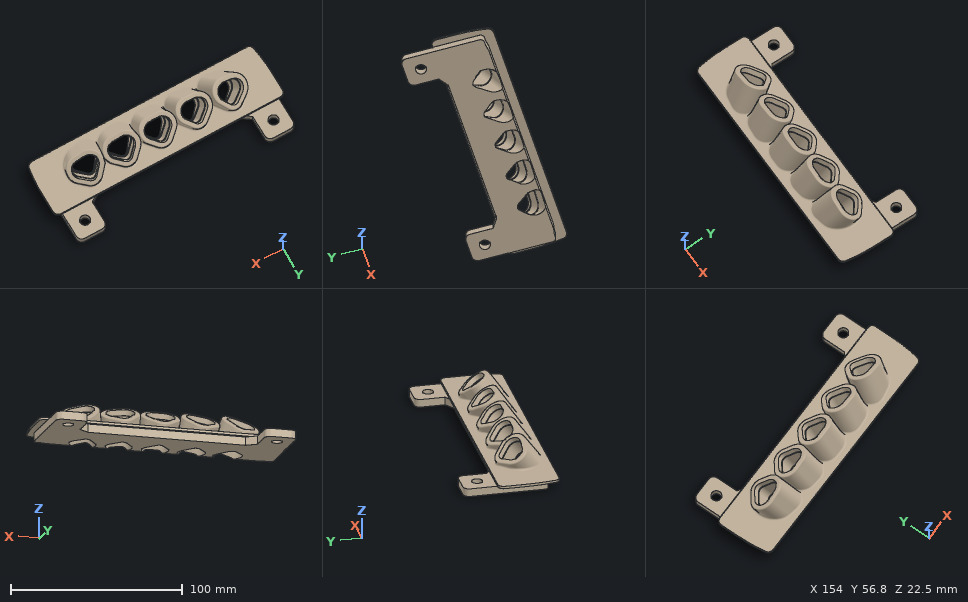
import cadquery as cq
import math


PLATE_LENGTH = 154.0
PLATE_DEPTH = 37.0
PLATE_THICKNESS = 1.5
PLATE_CORNER_RADIUS = 3.5
SIDE_BOW_START = 21.3
SIDE_BOW_RADIUS = 110.0

OVERALL_DEPTH = 56.8
BASE_WIDTH = 145.4
BASE_HEIGHT = 5.0
BASE_FRONT = 5.5
BACK_INSET = 2.0
BASE_BACK = PLATE_DEPTH - BACK_INSET
BASE_CORNER_RADIUS = 2.4
CORNER_SETBACK = 0.7
SETBACK_START = 8.4
SETBACK_END = 4.65
TAB_WIDTH = 19.0
TAB_CORNER_RADIUS = 3.75
TAB_HOLE_DIAMETER = 6.3
TAB_HOLE_FROM_BACK = 9.85
GUSSET_LENGTH = 6.0
GUSSET_DEPTH = 4.1

SOCKETS_PER_SIDE = 2
SOCKET_TILT = 34.2
FAN_STEP = 8.0
SOCKET_PITCH = 22.22
FAN_PIVOT_Z = 1.7
MOUTH_RADIUS = 20.57
MOUTH_Y = 14.85
SOCKET_FLAT = 6.0
SOCKET_SIDE_RADIUS = 8.9
SOCKET_APEX_RADIUS = 6.9
SOCKET_WALL = 3.3
SOCKET_FILLET = 1.0
FOOT_FILLET = 1.4
SOCKET_LENGTH = 45.0
LIP_DEPTH = 3.6
POCKET_DEPTH = 13.3
LIP_STEP = 0.5
LOWER_BORE_STEP = 0.6

PLATE_TOP = BASE_HEIGHT + PLATE_THICKNESS
EDGE_TOLERANCE = 0.01
OVERLAP = 0.5


def make_plate():
    half = PLATE_LENGTH / 2
    bow_center = half - SIDE_BOW_RADIUS

    def bow_x(y):
        return bow_center + math.sqrt(SIDE_BOW_RADIUS**2 - (SIDE_BOW_START - y)**2)

    bow_mid = (bow_x(SIDE_BOW_START / 2), SIDE_BOW_START / 2)
    return (
        cq.Workplane("XY", origin=(0, 0, BASE_HEIGHT))
        .moveTo(-half, PLATE_DEPTH)
        .lineTo(half, PLATE_DEPTH)
        .lineTo(half, SIDE_BOW_START)
        .threePointArc(bow_mid, (bow_x(0), 0))
        .lineTo(-bow_x(0), 0)
        .threePointArc((-bow_mid[0], bow_mid[1]), (-half, SIDE_BOW_START))
        .close()
        .extrude(PLATE_THICKNESS)
        .edges("|Z and (<Y or >Y)")
        .fillet(PLATE_CORNER_RADIUS)
    )


def make_base():
    half = BASE_WIDTH / 2
    tab_back = OVERALL_DEPTH
    tab_inner = half - TAB_WIDTH
    right_half = [
        (0, BASE_FRONT),
        (half - SETBACK_START, BASE_FRONT),
        (half - SETBACK_END, BASE_FRONT + CORNER_SETBACK),
        (half, BASE_FRONT + CORNER_SETBACK),
        (half, tab_back),
        (tab_inner, tab_back),
        (tab_inner, BASE_BACK + GUSSET_DEPTH),
        (tab_inner - GUSSET_LENGTH, BASE_BACK),
        (0, BASE_BACK),
    ]
    hole_x = half - TAB_WIDTH / 2
    hole_y = tab_back - TAB_HOLE_FROM_BACK
    hole = cq.Workplane("XY").center(hole_x, hole_y).circle(TAB_HOLE_DIAMETER / 2).extrude(BASE_HEIGHT)
    body = (
        cq.Workplane("XY")
        .polyline(right_half)
        .close()
        .extrude(BASE_HEIGHT)
        .edges("|Z and >Y")
        .fillet(TAB_CORNER_RADIUS)
        .edges("|Z")
        .edges(">X")
        .edges("<Y")
        .fillet(BASE_CORNER_RADIUS)
        .cut(hole)
    )
    return body.union(body.mirror("YZ"))


def socket_profile(workplane, inset):
    """Rounded pick shape: flat front, round sides, two 45 degree flanks and a round apex."""
    flat = SOCKET_FLAT / 2
    side = SOCKET_SIDE_RADIUS - inset
    apex = SOCKET_APEX_RADIUS - inset
    diagonal = math.sqrt(0.5)
    side_y = SOCKET_SIDE_RADIUS
    apex_y = side_y + flat + (SOCKET_SIDE_RADIUS - SOCKET_APEX_RADIUS) / diagonal
    flank_low = (flat + side * diagonal, side_y + side * diagonal)
    flank_high = (apex * diagonal, apex_y + apex * diagonal)
    bulge = math.radians(-22.5)
    side_mid = (flat + side * math.cos(bulge), side_y + side * math.sin(bulge))
    return (
        workplane.moveTo(-flat, inset)
        .lineTo(flat, inset)
        .threePointArc(side_mid, flank_low)
        .lineTo(*flank_high)
        .threePointArc((0, apex_y + apex), (-flank_high[0], flank_high[1]))
        .lineTo(-flank_low[0], flank_low[1])
        .threePointArc((-side_mid[0], side_mid[1]), (-flat, inset))
        .close()
    )


def mouth_plane(index):
    """Workplane on a socket's mouth; its origin is the middle of the front edge."""
    tilt = math.radians(SOCKET_TILT)
    fan = math.radians(FAN_STEP * index)
    axis = (math.cos(tilt) * math.sin(fan), math.sin(tilt), math.cos(tilt) * math.cos(fan))
    mouth_x = SOCKET_PITCH * index + MOUTH_RADIUS * math.sin(fan)
    mouth_z = FAN_PIVOT_Z + MOUTH_RADIUS * math.cos(fan)
    return cq.Plane(origin=(mouth_x, MOUTH_Y, mouth_z), xDir=(math.cos(fan), 0, -math.sin(fan)), normal=axis)


def make_socket(index):
    """Solid tube with a rounded mouth rim, trimmed just below the top of the plate."""
    plane = mouth_plane(index)
    mouth_face = cq.selectors.DirectionNthSelector(plane.zDir, -1)
    tube = socket_profile(cq.Workplane(plane), 0).extrude(-SOCKET_LENGTH)
    tube = tube.faces(mouth_face).edges().fillet(SOCKET_FILLET)
    trim = (
        cq.Workplane("XY", origin=(0, 0, PLATE_TOP - OVERLAP))
        .rect(2 * PLATE_LENGTH, 2 * PLATE_LENGTH)
        .extrude(-SOCKET_LENGTH)
    )
    return tube.cut(trim)


def make_bore(index):
    """Lead-in tapering to a lip, a wider pocket behind it and a narrower bore through the bottom."""
    mouth = cq.Workplane(mouth_plane(index))
    lip_level = mouth.workplane(offset=-LIP_DEPTH)
    lip_inset = SOCKET_WALL + LIP_STEP
    lead_in = socket_profile(mouth, SOCKET_WALL).workplane(offset=-LIP_DEPTH)
    lead_in = socket_profile(lead_in, lip_inset).loft(ruled=True)
    pocket = socket_profile(lip_level, SOCKET_WALL).extrude(LIP_DEPTH - POCKET_DEPTH)
    lower_bore = socket_profile(mouth, SOCKET_WALL + LOWER_BORE_STEP).extrude(-SOCKET_LENGTH)
    return lower_bore.union(lead_in).union(pocket)


def foot_edges():
    """Selects the edges where the sockets meet the top of the plate."""
    margin = 1.0
    low = (margin - PLATE_LENGTH / 2, margin, PLATE_TOP - EDGE_TOLERANCE)
    high = (PLATE_LENGTH / 2 - margin, PLATE_DEPTH - margin, PLATE_TOP + EDGE_TOLERANCE)
    return cq.selectors.BoxSelector(low, high, boundingbox=True)


socket_indices = range(-SOCKETS_PER_SIDE, SOCKETS_PER_SIDE + 1)
result = make_base().union(make_plate())
for index in socket_indices:
    result = result.union(make_socket(index))
result = result.edges(foot_edges()).fillet(FOOT_FILLET)
for index in socket_indices:
    result = result.cut(make_bore(index))